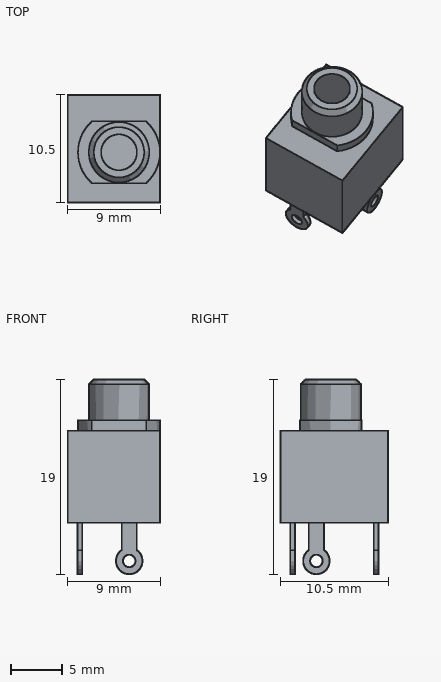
import cadquery as cq

total_height = 19
body_x = 9.0
body_y = 10.5
body_height = 9.0
terminal_length = 5.0
flange_thickness = 1.0
barrel_height = total_height - terminal_length - body_height - flange_thickness

flange_diameter = 8.0
flange_flat_width = 6.0
barrel_diameter = 5.89
barrel_chamfer = 0.5
bore_diameter = 3.5
axis_x = (body_x - flange_diameter) / 2
axis_y = -0.35
bore_depth = barrel_height + flange_thickness

terminal_thickness = 0.5
strip_width = 1.5
eye_diameter = 2.6
eye_hole_diameter = 1.2
side_terminal_x = 1.5
side_terminal_y = 4.07
end_terminal_x = -3.3
end_terminal_y = -1.75

flange_top = body_height + flange_thickness
barrel_top = flange_top + barrel_height


def make_body():
    """Rectangular housing standing on Z = 0."""
    return cq.Workplane("XY").box(body_x, body_y, body_height, centered=(True, True, False))


def make_flange():
    """Round flange cut to two flats facing +Y and -Y."""
    disc = cq.Workplane("XY").circle(flange_diameter / 2).extrude(flange_thickness)
    flats = cq.Workplane("XY").box(
        flange_diameter, flange_flat_width, flange_thickness, centered=(True, True, False)
    )
    return disc.intersect(flats).translate((axis_x, axis_y, body_height))


def make_barrel():
    """Socket barrel with a chamfered mouth."""
    return (
        cq.Workplane("XY")
        .circle(barrel_diameter / 2)
        .extrude(barrel_height)
        .faces(">Z")
        .edges()
        .chamfer(barrel_chamfer)
        .translate((axis_x, axis_y, flange_top))
    )


def make_bore():
    """Blind plug hole, opening at the barrel mouth."""
    return (
        cq.Workplane("XY")
        .circle(bore_diameter / 2)
        .extrude(-bore_depth)
        .translate((axis_x, axis_y, barrel_top))
    )


def make_terminal():
    """Flat strip hanging below Z = 0 with a round eye at its end, facing -Y."""
    eye_z = eye_diameter / 2 - terminal_length
    half_thickness = terminal_thickness / 2
    strip = (
        cq.Workplane("XZ")
        .center(0, eye_z / 2)
        .rect(strip_width, -eye_z)
        .extrude(half_thickness, both=True)
    )
    eye = cq.Workplane("XZ").center(0, eye_z).circle(eye_diameter / 2).extrude(half_thickness, both=True)
    hole = (
        cq.Workplane("XZ")
        .center(0, eye_z)
        .circle(eye_hole_diameter / 2)
        .extrude(terminal_thickness, both=True)
    )
    return strip.union(eye).cut(hole)


result = make_body().union(make_flange()).union(make_barrel()).cut(make_bore())

for side in (-1, 1):
    result = result.union(make_terminal().translate((side_terminal_x, side * side_terminal_y, 0)))

end_terminal = make_terminal().rotate((0, 0, 0), (0, 0, 1), 90)
result = result.union(end_terminal.translate((end_terminal_x, end_terminal_y, 0)))